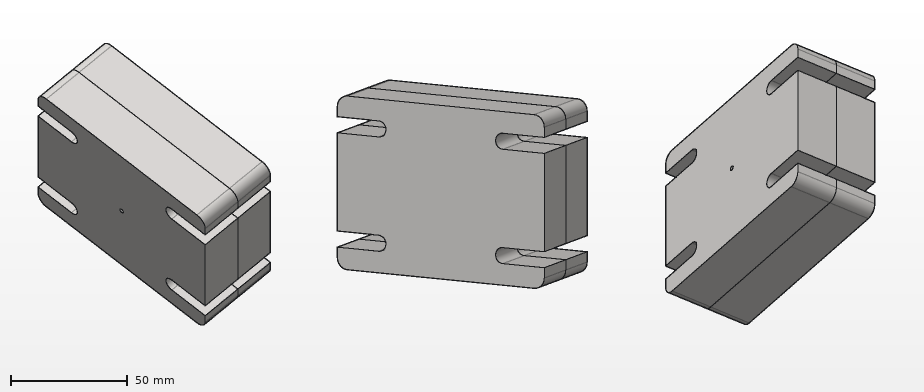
import cadquery as cq

length = 100.0
height = 76.0
corner_radius = 5.0

total_thickness = 40.2
plate_thickness = total_thickness / 2

slot_width = 7.0
slot_center_depth = 20.0
slot_spacing = 50.0

center_hole_diameter = 2.0

front_plate_y = -plate_thickness
back_plate_y = 0.0


def make_slots(front_y):
    """Cutting volume for the four slots of the plate whose front face is at front_y."""
    return (
        cq.Workplane("XZ", origin=(0, front_y, 0))
        .rarray(length, slot_spacing, 2, 2)
        .slot2D(2 * slot_center_depth + slot_width, slot_width)
        .extrude(-plate_thickness)
    )


def make_slotted_plate(front_y):
    """Rounded rectangular plate with two slots in each end, extending toward +Y."""
    blank = (
        cq.Workplane("XZ", origin=(0, front_y, 0))
        .rect(length, height)
        .extrude(-plate_thickness)
        .edges("|Y")
        .fillet(corner_radius)
    )
    return blank.cut(make_slots(front_y))


def make_front_plate():
    """Slotted plate with the central hole."""
    center_hole = (
        cq.Workplane("XZ", origin=(0, front_plate_y, 0))
        .circle(center_hole_diameter / 2)
        .extrude(-plate_thickness)
    )
    return make_slotted_plate(front_plate_y).cut(center_hole)


def make_back_plate():
    """Slotted plate without a central hole."""
    return make_slotted_plate(back_plate_y)


front_plate = make_front_plate()
back_plate = make_back_plate()

result = cq.Compound.makeCompound([front_plate.solids().val(), back_plate.solids().val()])